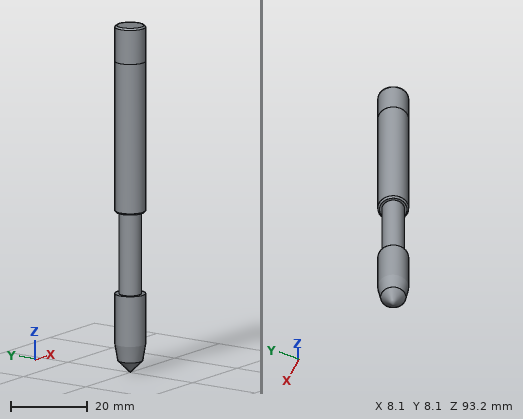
import cadquery as cq

total_length = 93.2
body_diameter = 8.1
neck_diameter = 6.0
tip_diameter = 6.6
edge_chamfer = 0.5

cap_length = 9.6
handle_bottom_z = 43.1
collar_top_z = 21.25
taper_top_z = 7.7

body_radius = body_diameter / 2
neck_radius = neck_diameter / 2
tip_radius = tip_diameter / 2
point_height = tip_radius
seam_z = total_length - cap_length


def make_cap():
    """Plain end cap with a chamfered top rim, seated flat on the pin."""
    return (
        cq.Workplane("XY")
        .workplane(offset=seam_z)
        .circle(body_radius)
        .extrude(cap_length)
        .faces(">Z")
        .edges()
        .chamfer(edge_chamfer)
    )


def make_pin():
    """Turned pin: handle, narrow neck, collar, tapered nose and conical point."""
    half_profile = (
        cq.Workplane("XZ")
        .moveTo(0, 0)
        .lineTo(tip_radius, point_height)
        .lineTo(body_radius, taper_top_z)
        .lineTo(body_radius, collar_top_z)
        .lineTo(neck_radius, collar_top_z)
        .lineTo(neck_radius, handle_bottom_z)
        .lineTo(body_radius - edge_chamfer, handle_bottom_z)
        .lineTo(body_radius, handle_bottom_z + edge_chamfer)
        .lineTo(body_radius, seam_z)
        .lineTo(0, seam_z)
        .close()
    )
    return half_profile.revolve(360, (0, 0, 0), (0, 1, 0))


cap = make_cap()
pin = make_pin()

result = cq.Compound.makeCompound([cap.val(), pin.val()])